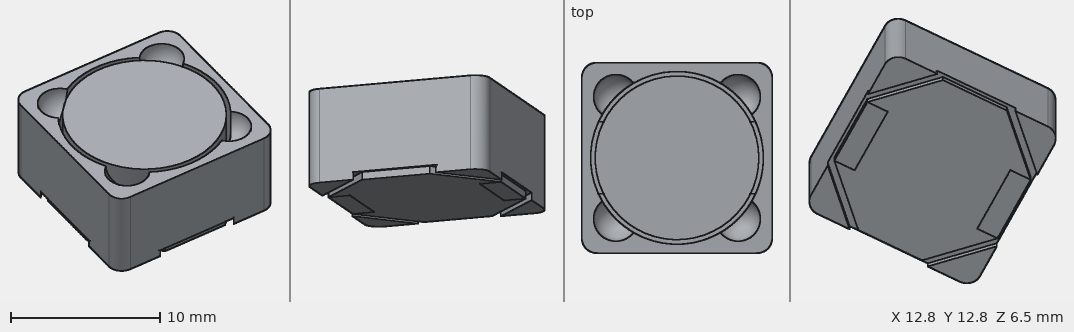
import cadquery as cq

WIDTH = 12.8
HEIGHT = 6.5
CORNER_RADIUS = 1.02

BORE_RADIUS = 5.8
CORE_RADIUS = 5.49

POCKET_RADIUS = 1.5
POCKET_OFFSET = 4.1

BASE_HEIGHT = 0.52
BASE_SETBACK = 0.23
BASE_WIDTH = WIDTH - 2 * BASE_SETBACK
BASE_FLAT_LENGTH = 4.83
NOTCH_WIDTH = 5.89

TERMINAL_DEPTH = 1.54


def box_on_bottom(size_x, size_y, size_z):
    """Box centred on the Z axis and standing on the bottom plane."""
    return cq.Workplane("XY").box(size_x, size_y, size_z, centered=(True, True, False))


def make_octagon(width, flat_length):
    """Octagon plate: a square plate with its corners chamfered to leave the given flats."""
    chamfer = (width - flat_length) / 2
    return box_on_bottom(width, width, BASE_HEIGHT).edges("|Z").chamfer(chamfer)


def make_housing():
    """Square sleeve with a round bore, base recess and top pockets."""
    body = box_on_bottom(WIDTH, WIDTH, HEIGHT).edges("|Z").fillet(CORNER_RADIUS)
    body = body.cut(cq.Workplane("XY").circle(BORE_RADIUS).extrude(HEIGHT))
    body = body.cut(make_octagon(WIDTH, NOTCH_WIDTH))
    for x_side in (-1, 1):
        for y_side in (-1, 1):
            centre = (x_side * POCKET_OFFSET, y_side * POCKET_OFFSET, HEIGHT)
            body = body.cut(cq.Workplane("XY").sphere(POCKET_RADIUS).translate(centre))
    return body


def make_core():
    """Cylindrical drum core standing on the base, flush with the housing top."""
    base_top = cq.Workplane("XY").workplane(offset=BASE_HEIGHT)
    return base_top.circle(CORE_RADIUS).extrude(HEIGHT - BASE_HEIGHT)


def make_terminal(side):
    """Terminal block on the -X (side = -1) or +X (side = 1) edge of the base."""
    centre_x = side * (BASE_WIDTH - TERMINAL_DEPTH) / 2
    return box_on_bottom(TERMINAL_DEPTH, BASE_FLAT_LENGTH, BASE_HEIGHT).translate((centre_x, 0, 0))


def make_base(terminals):
    """Octagonal base with a recess for each terminal."""
    base = make_octagon(BASE_WIDTH, BASE_FLAT_LENGTH)
    for terminal in terminals:
        base = base.cut(terminal)
    return base


housing = make_housing()
core = make_core()
terminals = [make_terminal(side) for side in (-1, 1)]
base = make_base(terminals)

result = cq.Compound.makeCompound(
    [housing.val(), core.val(), base.val(), *[terminal.val() for terminal in terminals]]
)